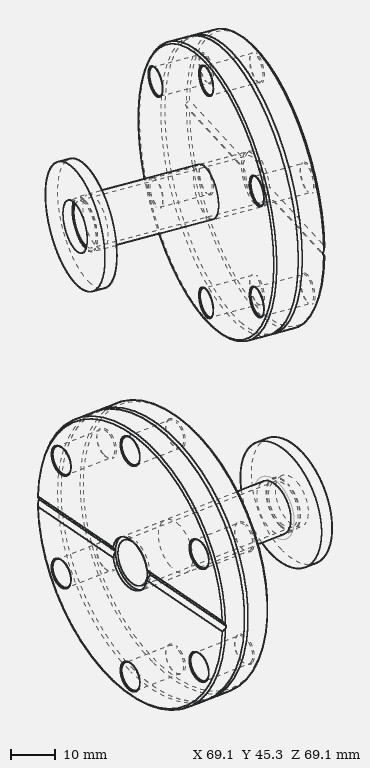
import cadquery as cq
import math


flange_diameter = 69.1
flange_thickness = 12.7
rim_chamfer = 0.5
rim_groove_width = 1.0
rim_groove_depth = 0.25
bolt_count = 6
bolt_circle_diameter = 58.7
bolt_hole_diameter = 6.7
bolt_hole_chamfer = 0.25
leak_groove_width = 2.7
leak_groove_depth = 0.75

tube_outer_diameter = 12.7
tube_bore_diameter = 10.9

clamp_diameter = 30.0
clamp_bore_diameter = 12.2
clamp_rim_thickness = 3.0
clamp_taper_angle = 15.0
clamp_hub_diameter = 14.9
tube_setback = 2.4

overall_length = 45.3

flange_front_y = -flange_thickness
clamp_face_y = -overall_length
clamp_rim_back_y = clamp_face_y + clamp_rim_thickness
clamp_taper_length = (clamp_diameter - clamp_hub_diameter) / 2 * math.tan(math.radians(clamp_taper_angle))
clamp_back_y = clamp_rim_back_y + clamp_taper_length
tube_front_y = clamp_face_y + tube_setback
tube_back_y = -leak_groove_depth


def revolve_about_y(profile):
    return profile.close().revolve(360, (0, 0, 0), (0, 1, 0))


def cylinder(diameter, start_y, end_y):
    base = cq.Workplane("XZ", origin=(0, start_y, 0))
    return base.circle(diameter / 2).extrude(start_y - end_y)


def make_flange_blank():
    """Disc with chamfered rims, a shallow round groove around its middle and a bore for the tube."""
    radius = flange_diameter / 2
    bore_radius = tube_outer_diameter / 2
    middle_y = flange_front_y / 2
    profile = (
        cq.Workplane("XY")
        .moveTo(bore_radius, 0)
        .lineTo(radius - rim_chamfer, 0)
        .lineTo(radius, -rim_chamfer)
        .lineTo(radius, middle_y + rim_groove_width / 2)
        .threePointArc(
            (radius - rim_groove_depth, middle_y),
            (radius, middle_y - rim_groove_width / 2),
        )
        .lineTo(radius, flange_front_y + rim_chamfer)
        .lineTo(radius - rim_chamfer, flange_front_y)
        .lineTo(bore_radius, flange_front_y)
    )
    return revolve_about_y(profile)


def make_bolt_hole_cutter():
    """Through hole along the Y axis, chamfered at both faces."""
    radius = bolt_hole_diameter / 2
    mouth_radius = radius + bolt_hole_chamfer
    profile = (
        cq.Workplane("XY")
        .moveTo(0, 0)
        .lineTo(mouth_radius, 0)
        .lineTo(radius, -bolt_hole_chamfer)
        .lineTo(radius, flange_front_y + bolt_hole_chamfer)
        .lineTo(mouth_radius, flange_front_y)
        .lineTo(0, flange_front_y)
    )
    return revolve_about_y(profile)


def make_leak_groove_cutter():
    """V groove straight across the back face along X."""
    profile = cq.Workplane("YZ").polyline([
        (0, -leak_groove_width / 2),
        (-leak_groove_depth, 0),
        (0, leak_groove_width / 2),
    ])
    return profile.close().extrude(flange_diameter / 2, both=True)


def make_flange():
    body = make_flange_blank().cut(make_leak_groove_cutter())
    bolt_hole = make_bolt_hole_cutter().translate((0, 0, bolt_circle_diameter / 2))
    for index in range(bolt_count):
        angle = index * 360 / bolt_count
        body = body.cut(bolt_hole.rotate((0, 0, 0), (0, 1, 0), angle))
    return body


def make_tube():
    outside = cylinder(tube_outer_diameter, tube_back_y, tube_front_y)
    return outside.cut(cylinder(tube_bore_diameter, tube_back_y, tube_front_y))


def make_clamp_flange():
    """Disc with a tapered back, a bore at its face and a socket behind it for the tube."""
    radius = clamp_diameter / 2
    bore_radius = clamp_bore_diameter / 2
    socket_radius = tube_outer_diameter / 2
    profile = (
        cq.Workplane("XY")
        .moveTo(bore_radius, clamp_face_y)
        .lineTo(radius, clamp_face_y)
        .lineTo(radius, clamp_rim_back_y)
        .lineTo(clamp_hub_diameter / 2, clamp_back_y)
        .lineTo(socket_radius, clamp_back_y)
        .lineTo(socket_radius, tube_front_y)
        .lineTo(bore_radius, tube_front_y)
    )
    return revolve_about_y(profile)


flange = make_flange()
tube = make_tube()
clamp_flange = make_clamp_flange()

result = cq.Compound.makeCompound([flange.val(), tube.val(), clamp_flange.val()])